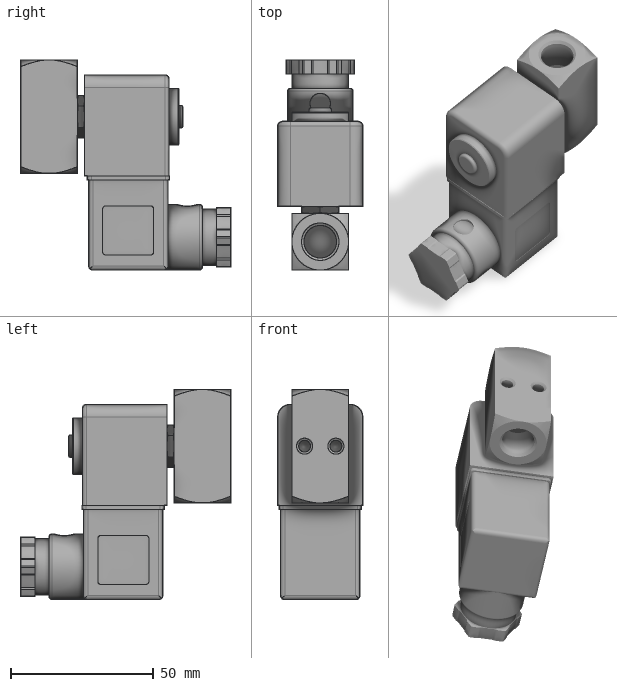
import cadquery as cq
import math


BLOCK_SIDE = 20.0
BLOCK_HEIGHT = 2 * BLOCK_SIDE
CORNER_CUT_ANGLE = 30.0
PORT_DIAMETER = 11.5
PORT_MOUTH_DIAMETER = 13.2
PORT_DEPTH = 12.0
MOUNT_HOLE_DIAMETER = 4.15
MOUNT_HOLE_MOUTH_DIAMETER = 5.6
MOUNT_HOLE_DEPTH = 6.0
MOUNT_HOLE_SPACING = 11.0
DRILL_POINT_ANGLE = 118.0

NECK_ACROSS_FLATS = 13.0
NECK_BEVEL_ANGLE = 15.0
NECK_ACROSS_CORNERS = NECK_ACROSS_FLATS / math.cos(math.radians(30))

COIL_FRONT = 12.4
COIL_BACK = 42.25
COIL_WIDTH = 30.0
COIL_TOP = 14.7
COIL_BOTTOM = -20.9
COIL_TOP_RADIUS = 4.5
COIL_BACK_RADIUS = 1.55
LOCATING_HOLE_DIAMETER = 2.1
LOCATING_HOLE_DEPTH = 3.0
LOCATING_HOLE_X = -7.2

CAP_DIAMETER = 20.0
CAP_HEIGHT = 3.4
CAP_CHAMFER = 0.3
HUB_DIAMETER = 8.0
HUB_HEIGHT = 1.4
HUB_RADIUS = 0.75

FLANGE_WIDTH = 29.0
FLANGE_FRONT = 13.4
FLANGE_BACK = 42.4
FLANGE_THICKNESS = 1.4
FLANGE_RADIUS = 1.5

OVERALL_HEIGHT = 74.0
HOUSING_WIDTH = 28.0
HOUSING_DEPTH = HOUSING_WIDTH
HOUSING_TOP = COIL_BOTTOM - FLANGE_THICKNESS
HOUSING_BOTTOM = BLOCK_HEIGHT / 2 - OVERALL_HEIGHT
HOUSING_CENTRE_Y = (FLANGE_FRONT + FLANGE_BACK) / 2
HOUSING_FRONT = HOUSING_CENTRE_Y - HOUSING_DEPTH / 2
HOUSING_BACK = HOUSING_CENTRE_Y + HOUSING_DEPTH / 2
HOUSING_RADIUS = 1.55
PANEL_LENGTH = 18.0
PANEL_HEIGHT = 17.2
PANEL_CENTRE_Y = 27.8
PANEL_CENTRE_Z = -40.0
PANEL_RADIUS = 1.0
PANEL_DEPTH = 0.15

GLAND_Z = -42.4
SLEEVE_DIAMETER = 23.0
SLEEVE_END = 53.95
SLEEVE_RADIUS = 0.95
SLEEVE_POCKET_DIAMETER = 7.2
SLEEVE_POCKET_DEPTH = 1.0
SLEEVE_POCKET_Y = 48.6
GLAND_NECK_DIAMETER = 20.0
NUT_START = 59.0
NUT_END = 63.9
NUT_ACROSS_FLATS = 21.0
NUT_CORNER_DIAMETER = 24.0
NUT_GROOVE_DEPTH = 0.3
NUT_GROOVE_FLOOR_WIDTH = 5.2
NUT_GROOVE_MOUTH_WIDTH = 6.2


def box(x_size, y_min, y_max, z_min, z_max):
    """Block centred on X = 0 between the given Y and Z limits."""
    centre = (0, (y_min + y_max) / 2, (z_min + z_max) / 2)
    return cq.Workplane("XY").box(x_size, y_max - y_min, z_max - z_min).translate(centre)


def rod_along_y(diameter, y_start, y_end, z=0):
    """Cylinder parallel to Y, centred on X = 0."""
    plane = cq.Plane(origin=(0, y_start, z), xDir=(1, 0, 0), normal=(0, 1, 0))
    return cq.Workplane(plane).circle(diameter / 2).extrude(y_end - y_start)


def hexagon_along_y(across_flats, y_start, y_end, z=0, turn=0):
    """Hexagonal bar parallel to Y, with corners on +X and -X before it is turned."""
    plane = cq.Plane(origin=(0, y_start, z), xDir=(1, 0, 0), normal=(0, 1, 0))
    across_corners = across_flats / math.cos(math.radians(30))
    bar = cq.Workplane(plane).polygon(6, across_corners).extrude(y_end - y_start)
    return bar.rotate((0, 0, z), (0, 1, z), turn)


def port():
    """Flat-bottomed port with a 45 degree mouth, cut down from the top of the block."""
    radius = PORT_DIAMETER / 2
    mouth = PORT_MOUTH_DIAMETER / 2
    top = BLOCK_HEIGHT / 2
    floor = top - PORT_DEPTH
    profile = [(0, top), (mouth, top), (radius, top - (mouth - radius)), (radius, floor), (0, floor)]
    return cq.Workplane("XZ").polyline(profile).close().revolve(360, (0, 0), (0, 1))


def mounting_hole(x):
    """Blind drilled hole with a 45 degree mouth in the front of the block."""
    radius = MOUNT_HOLE_DIAMETER / 2
    mouth = MOUNT_HOLE_MOUTH_DIAMETER / 2
    front = -BLOCK_SIDE / 2
    floor = front + MOUNT_HOLE_DEPTH
    tip = floor + radius / math.tan(math.radians(DRILL_POINT_ANGLE / 2))
    profile = [(0, front), (mouth, front), (radius, front + mouth - radius), (radius, floor), (0, tip)]
    hole = cq.Workplane("XY").polyline(profile).close().revolve(360, (0, 0), (0, 1))
    return hole.translate((x, 0, 0))


def corner_cut_envelope():
    """Cylinder with conical ends that bevels the corners of the block."""
    inner = BLOCK_SIDE / 2
    outer = BLOCK_SIDE
    half = BLOCK_HEIGHT / 2
    shoulder = half - (outer - inner) * math.tan(math.radians(CORNER_CUT_ANGLE))
    profile = [(0, -half), (inner, -half), (outer, -shoulder), (outer, shoulder), (inner, half), (0, half)]
    return cq.Workplane("XZ").polyline(profile).close().revolve(360, (0, 0), (0, 1))


def neck():
    """Hexagonal neck with bevelled corners at both ends."""
    start = BLOCK_SIDE / 2
    inner = NECK_ACROSS_FLATS / 2
    outer = NECK_ACROSS_CORNERS / 2
    bevel = (outer - inner) * math.tan(math.radians(NECK_BEVEL_ANGLE))
    profile = [
        (0, start),
        (inner, start),
        (outer, start + bevel),
        (outer, COIL_FRONT - bevel),
        (inner, COIL_FRONT),
        (0, COIL_FRONT),
    ]
    envelope = cq.Workplane("XY").polyline(profile).close().revolve(360, (0, 0), (0, 1))
    return hexagon_along_y(NECK_ACROSS_FLATS, start, COIL_FRONT, turn=30).intersect(envelope)


def make_valve():
    """Valve block with its neck, two ports and two mounting holes."""
    half_side = BLOCK_SIDE / 2
    half_height = BLOCK_HEIGHT / 2
    block = box(BLOCK_SIDE, -half_side, half_side, -half_height, half_height)
    valve = block.intersect(corner_cut_envelope()).union(neck())
    for end in (0, 180):
        valve = valve.cut(port().rotate((0, 0, 0), (1, 0, 0), end))
    for side in (-1, 1):
        valve = valve.cut(mounting_hole(side * MOUNT_HOLE_SPACING / 2))
    return valve


def make_coil():
    """Coil case with a locating hole in front and a round cap and hub behind."""
    case = box(COIL_WIDTH, COIL_FRONT, COIL_BACK, COIL_BOTTOM, COIL_TOP)
    case = case.edges("|Y and >Z").fillet(COIL_TOP_RADIUS)
    case = case.faces(">Y").edges("not <Z").fillet(COIL_BACK_RADIUS)
    cap_end = COIL_BACK + CAP_HEIGHT
    cap = rod_along_y(CAP_DIAMETER, COIL_BACK, cap_end).faces(">Y").chamfer(CAP_CHAMFER)
    hub = rod_along_y(HUB_DIAMETER, cap_end, cap_end + HUB_HEIGHT).faces(">Y").edges().fillet(HUB_RADIUS)
    hole_end = COIL_FRONT + LOCATING_HOLE_DEPTH
    locating_hole = rod_along_y(LOCATING_HOLE_DIAMETER, COIL_FRONT, hole_end)
    case = case.cut(locating_hole.translate((LOCATING_HOLE_X, 0, 0)))
    return case.union(cap).union(hub)


def housing_shell():
    """Housing block whose rounded upright and bottom edges meet in mitred corners."""
    blank = box(HOUSING_WIDTH, HOUSING_FRONT, HOUSING_BACK, HOUSING_BOTTOM, HOUSING_TOP)
    rounded_upright = blank.edges("|Z").fillet(HOUSING_RADIUS)
    rounded_along_x = blank.edges("|X and <Z").fillet(HOUSING_RADIUS)
    rounded_along_y = blank.edges("|Y and <Z").fillet(HOUSING_RADIUS)
    return rounded_upright.intersect(rounded_along_x).intersect(rounded_along_y)


def side_panel(side):
    """Shallow rounded recess in one side wall of the connector housing."""
    panel = cq.Workplane("XY").box(2 * PANEL_DEPTH, PANEL_LENGTH, PANEL_HEIGHT)
    panel = panel.edges("|X").fillet(PANEL_RADIUS)
    return panel.translate((side * HOUSING_WIDTH / 2, PANEL_CENTRE_Y, PANEL_CENTRE_Z))


def gland_nut():
    """Hexagonal nut with trimmed corners and a flared groove along each flat."""
    nut = hexagon_along_y(NUT_ACROSS_FLATS, NUT_START, NUT_END, GLAND_Z)
    nut = nut.intersect(rod_along_y(NUT_CORNER_DIAMETER, NUT_START, NUT_END, GLAND_Z))
    flat = NUT_ACROSS_FLATS / 2
    floor = flat - NUT_GROOVE_DEPTH
    half_floor = NUT_GROOVE_FLOOR_WIDTH / 2
    half_mouth = NUT_GROOVE_MOUTH_WIDTH / 2
    profile = [(-half_floor, floor), (half_floor, floor), (half_mouth, flat), (-half_mouth, flat)]
    plane = cq.Plane(origin=(0, NUT_END, GLAND_Z), xDir=(1, 0, 0), normal=(0, -1, 0))
    groove = cq.Workplane(plane).polyline(profile).close().extrude(NUT_END - NUT_START)
    for index in range(6):
        nut = nut.cut(groove.rotate((0, 0, GLAND_Z), (0, 1, GLAND_Z), index * 60))
    return nut


def cable_gland():
    """Sleeve, neck and nut, rooted inside the connector housing."""
    root = HOUSING_BACK - HOUSING_RADIUS
    sleeve = rod_along_y(SLEEVE_DIAMETER, root, SLEEVE_END, GLAND_Z).faces(">Y").edges().fillet(SLEEVE_RADIUS)
    pocket_floor = GLAND_Z + SLEEVE_DIAMETER / 2 - SLEEVE_POCKET_DEPTH
    pocket = (
        cq.Workplane("XY", origin=(0, SLEEVE_POCKET_Y, pocket_floor))
        .circle(SLEEVE_POCKET_DIAMETER / 2)
        .extrude(2 * SLEEVE_POCKET_DEPTH)
    )
    gland_neck = rod_along_y(GLAND_NECK_DIAMETER, SLEEVE_END, NUT_START, GLAND_Z)
    return sleeve.cut(pocket).union(gland_neck).union(gland_nut())


def make_connector():
    """Connector housing with its seal flange, side panels and cable gland."""
    flange = box(FLANGE_WIDTH, FLANGE_FRONT, FLANGE_BACK, HOUSING_TOP, COIL_BOTTOM)
    flange = flange.edges("|Z").fillet(FLANGE_RADIUS)
    housing = housing_shell()
    for side in (-1, 1):
        housing = housing.cut(side_panel(side))
    return housing.union(flange).union(cable_gland())


valve = make_valve()
coil = make_coil()
connector = make_connector()

result = cq.Compound.makeCompound([valve.val(), coil.val(), connector.val()])